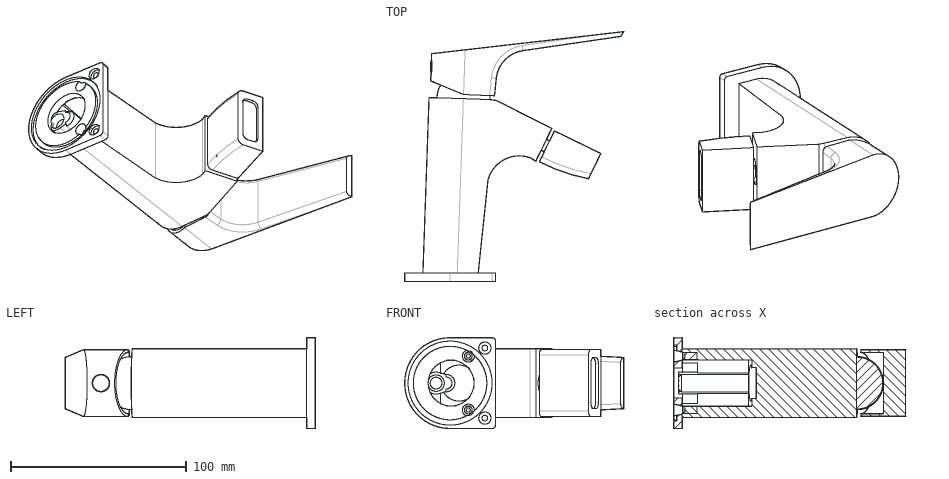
import cadquery as cq
import math

plate_radius = 26.0
plate_thickness = 5.0
plate_corner_radius = 2.0
groove_outer_radius = 24.0
groove_inner_radius = 21.0
groove_depth = 1.7
plate_bore_diameter = 26.1
plate_bore_x = 0.6
foot_x = 19.9
foot_z = 20.0
foot_recess_diameter = 7.0
foot_recess_depth = 1.9
foot_hole_diameter = 3.3
foot_hole_depth = 1.6

screw_x = 10.5
screw_z = 15.5
screw_diameter = 4.5
screw_length = 8.6
screw_entry_diameter = 6.9
screw_socket_size = 2.6
screw_socket_depth = 1.5

tilt = 2.0
column_radius = 19.7
column_base_x = 4.1
column_height = 99.6
column_front_base_x = 16.1
throat_start = (21.7, 58.1)
throat_middle = (28.1, 67.9)
throat_end = (45.7, 70.7)
shoulder = (26.5, 103.6)
spout_droop = 26.0
spout_face_centre = (53.6, 78.1)
spout_face_height = 20.9

cavity_back_x = -5.6
cavity_front_x = 13.6
cavity_half_width = 13.1
cavity_ceiling_y = 42.9
ceiling_slope = 6.0
supply_bore_diameter = 20.6
supply_bore_x = 5.1
supply_bore_depth = 4.3
side_pocket_depth = 8.6
lug_face_y = 2.9
lug_x = -8.0
lug_radius = 6.3
lug_hole_diameter = 9.5
lug_hole_floor_diameter = 6.7
lug_hole_depth = 4.3
nose_x = -2.3
nose_diameter = 10.0
nose_chamfer = 1.6

dome_diameter = 30.6

lever_radius = 19.1
lever_tip_half_width = 14.7
lever_top_back = (-10.3, 130.3)
lever_tip = (99.3, 142.9)
lever_tip_bottom = (97.5, 140.0)
lever_elbow = (27.9, 129.9)
lever_elbow_radius = 17.7
lever_front_bottom = (25.5, 106.2)
lever_skirt_front = (7.9, 106.9)
lever_skirt_back = (-10.7, 114.5)
lever_edge_radius = 3.0
lever_cavity_diameter = 34.9
lever_cavity_front = 15.6

cap_y = 122.5
cap_diameter = 9.5
cap_outer_x = -11.3
cap_inner_x = -9.9
cap_crown_radius = 15.7
cap_hole_diameter = 10.0

nozzle_gap = 1.9
nozzle_end = 31.5
nozzle_half_height = 9.9
nozzle_end_bottom = -6.3
nozzle_belly = (16.9, -9.1)
nozzle_width = 38.5
nozzle_edge_radius = 3.1
slot_length = 29.0
slot_height = 9.7
slot_offset = 1.7
slot_corner_radius = 3.3
slot_depth = 1.9
connector_flange_diameter = 15.0
connector_flange_thickness = 2.9
connector_neck_diameter = 7.0
connector_insertion = 4.3

reach = 114.3
trim_margin = 1.5
trim_overhang = 7.1


def horizontal_plane(y):
    """Plane at height y that faces up, with local x along X."""
    return cq.Plane(origin=(0, y, 0), xDir=(1, 0, 0), normal=(0, 1, 0))


def column_plane(height=0.0):
    """Plane square to the tilted column axis, at a distance along that axis."""
    lean = math.radians(tilt)
    return cq.Plane(
        origin=(column_base_x + height * math.sin(lean), plate_thickness + height * math.cos(lean), 0),
        xDir=(math.cos(lean), -math.sin(lean), 0),
        normal=(math.sin(lean), math.cos(lean), 0),
    )


def spout_profile_plane():
    """Plane z = 0 with local x along the spout and the origin on the spout face."""
    droop = math.radians(spout_droop)
    return cq.Plane(
        origin=(*spout_face_centre, 0),
        xDir=(math.cos(droop), -math.sin(droop), 0),
        normal=(0, 0, 1),
    )


def spout_cross_plane(distance):
    """Plane square to the spout: local x is up the face and local y is along Z."""
    droop = math.radians(spout_droop)
    along = (math.cos(droop), -math.sin(droop))
    return cq.Plane(
        origin=(
            spout_face_centre[0] + distance * along[0],
            spout_face_centre[1] + distance * along[1],
            0,
        ),
        xDir=(math.sin(droop), math.cos(droop), 0),
        normal=(*along, 0),
    )


def upright_cylinder(x, z, diameter, y_low, y_high):
    """Cylinder along Y between two heights."""
    return (
        cq.Workplane(horizontal_plane(y_low)).center(x, -z)
        .circle(diameter / 2).extrude(y_high - y_low)
    )


def upright_cone(x, z, low_diameter, high_diameter, y_low, y_high):
    """Cone or tapered hole along Y between two heights."""
    return cq.Workplane(
        cq.Solid.makeCone(
            low_diameter / 2, high_diameter / 2, y_high - y_low,
            pnt=cq.Vector(x, y_low, z), dir=cq.Vector(0, 1, 0),
        )
    )


def spout_cylinder(diameter, start, end):
    """Cylinder along the spout between two distances from the spout face."""
    return cq.Workplane(spout_cross_plane(start)).circle(diameter / 2).extrude(end - start)


def make_plate():
    plate = (
        cq.Workplane(horizontal_plane(0))
        .moveTo(0, plate_radius)
        .lineTo(plate_radius, plate_radius)
        .lineTo(plate_radius, -plate_radius)
        .lineTo(0, -plate_radius)
        .threePointArc((-plate_radius, 0), (0, plate_radius))
        .close().extrude(plate_thickness)
        .edges("|Y and >X").fillet(plate_corner_radius)
    )
    groove = (
        cq.Workplane(horizontal_plane(0))
        .circle(groove_outer_radius).circle(groove_inner_radius).extrude(groove_depth)
    )
    plate = plate.cut(groove)
    plate = plate.cut(upright_cylinder(plate_bore_x, 0, plate_bore_diameter, 0, plate_thickness))
    foot_cone_end = foot_recess_depth + foot_hole_depth
    for side in (-1, 1):
        plate = plate.cut(
            upright_cone(screw_x, side * screw_z, screw_entry_diameter, screw_diameter, 0, plate_thickness)
        )
        plate = plate.cut(upright_cylinder(foot_x, side * foot_z, foot_recess_diameter, 0, foot_recess_depth))
        plate = plate.cut(
            upright_cone(foot_x, side * foot_z, foot_hole_diameter, 0, foot_recess_depth, foot_cone_end)
        )
    return plate


def make_screw(side):
    screw_top = plate_thickness + screw_length
    screw = upright_cylinder(screw_x, side * screw_z, screw_diameter, plate_thickness, screw_top)
    socket = (
        cq.Workplane(horizontal_plane(plate_thickness)).center(screw_x, -side * screw_z)
        .polygon(6, screw_socket_size).extrude(screw_socket_depth)
    )
    return screw.cut(socket)


def column_shell():
    """Rounded-back column and spout, trimmed to the side outline."""
    plan = cq.Workplane(column_plane()).circle(column_radius).extrude(reach, both=True)
    front = (
        cq.Workplane(column_plane()).rect(reach, 2 * column_radius)
        .extrude(reach, both=True).translate((reach / 2, 0, 0))
    )
    face_half = spout_face_height / 2
    spout_plane = spout_profile_plane()
    face_bottom = spout_plane.toWorldCoords((0, -face_half)).toTuple()[:2]
    face_top = spout_plane.toWorldCoords((0, face_half)).toTuple()[:2]
    top_plane = column_plane(column_height)
    top_front = top_plane.toWorldCoords((dome_diameter / 2, 0)).toTuple()[:2]
    top_back = top_plane.toWorldCoords((-column_radius - trim_margin, 0)).toTuple()[:2]
    outline = (
        cq.Workplane("XY")
        .moveTo(top_back[0] - column_radius, plate_thickness)
        .lineTo(column_front_base_x, plate_thickness)
        .lineTo(*throat_start)
        .threePointArc(throat_middle, throat_end)
        .lineTo(*face_bottom).lineTo(*face_top)
        .lineTo(*shoulder).lineTo(*top_front).lineTo(*top_back)
        .close().extrude(column_radius + trim_margin, both=True)
    )
    return outline.intersect(plan.union(front))


def column_lug():
    """Lug that hangs from the cavity ceiling, blended into a chamfered round nose."""
    height = cavity_ceiling_y - lug_face_y
    nose_radius = nose_diameter / 2
    slope = (lug_radius - nose_radius) / (nose_x - lug_x)
    rise = math.sqrt(1 - slope ** 2)
    lug_edge = (lug_x + lug_radius * slope, lug_radius * rise)
    web = (
        cq.Workplane(horizontal_plane(lug_face_y))
        .polyline([
            lug_edge,
            (nose_x, nose_radius * rise),
            (nose_x, -nose_radius * rise),
            (lug_edge[0], -lug_edge[1]),
        ])
        .close().extrude(height)
    )
    lug = upright_cylinder(lug_x, 0, 2 * lug_radius, lug_face_y, cavity_ceiling_y)
    nose = (
        upright_cylinder(nose_x, 0, nose_diameter, lug_face_y, cavity_ceiling_y)
        .faces("<Y").chamfer(nose_chamfer)
    )
    return lug.union(web).union(nose)


def column_cavity():
    """Hollow behind the flat front wall, with a sloping ceiling."""
    front_lean = (throat_start[0] - column_front_base_x) / (throat_start[1] - plate_thickness)
    ceiling_rise = math.tan(math.radians(ceiling_slope))
    front_top_x = cavity_front_x + front_lean * (cavity_ceiling_y - plate_thickness)
    front_top_y = cavity_ceiling_y + ceiling_rise * (front_top_x - cavity_back_x)
    return (
        cq.Workplane("XY")
        .polyline([
            (cavity_back_x, plate_thickness),
            (cavity_front_x, plate_thickness),
            (front_top_x, front_top_y),
            (cavity_back_x, cavity_ceiling_y),
        ])
        .close().extrude(cavity_half_width, both=True)
    )


def underside_openings():
    """Cavity, supply bore in its ceiling and side pocket, leaving the lug standing."""
    supply = upright_cylinder(
        supply_bore_x, 0, supply_bore_diameter, cavity_ceiling_y, cavity_ceiling_y + supply_bore_depth
    )
    pocket_top = plate_thickness + side_pocket_depth
    pocket = upright_cylinder(plate_bore_x, 0, plate_bore_diameter, plate_thickness, pocket_top)
    return pocket.union(column_cavity()).cut(column_lug()).union(supply)


def lug_foot():
    """Lower end of the lug, trimmed to fit inside the bore of the plate."""
    return column_lug().intersect(
        upright_cylinder(plate_bore_x, 0, plate_bore_diameter, lug_face_y, plate_thickness)
    )


def make_column():
    lug_hole = upright_cone(
        lug_x, 0, lug_hole_diameter, lug_hole_floor_diameter, lug_face_y, lug_face_y + lug_hole_depth
    )
    column = column_shell().cut(underside_openings()).union(lug_foot()).cut(lug_hole)
    for side in (-1, 1):
        column = column.cut(
            upright_cylinder(
                screw_x, side * screw_z, screw_diameter, plate_thickness, plate_thickness + screw_length
            )
        )
    return column.cut(spout_cylinder(connector_flange_diameter, -connector_flange_thickness, 0))


def make_dome():
    """Half ball that stands on the column top."""
    return cq.Workplane(column_plane(column_height)).sphere(dome_diameter / 2, angle1=0, angle2=90)


def lever_plan():
    """Round back with sides that narrow towards the tip, along the column axis."""
    axis_plane = column_plane(column_height)
    tip_distance = axis_plane.toLocalCoords(cq.Vector(*lever_tip, 0)).x
    return (
        cq.Workplane(axis_plane)
        .moveTo(0, lever_radius)
        .lineTo(tip_distance, lever_tip_half_width)
        .lineTo(tip_distance, -lever_tip_half_width)
        .lineTo(0, -lever_radius)
        .threePointArc((-lever_radius, 0), (0, lever_radius))
        .close().extrude(reach, both=True)
    )


def lever_outline():
    """Side outline of the lever with its rounded inner elbow."""
    top_slope = (lever_tip[1] - lever_top_back[1]) / (lever_tip[0] - lever_top_back[0])
    skirt_slope = (lever_skirt_front[1] - lever_skirt_back[1]) / (lever_skirt_front[0] - lever_skirt_back[0])
    sharp = (
        cq.Workplane("XY")
        .polyline([
            (lever_top_back[0] - trim_overhang, lever_top_back[1] - trim_overhang * top_slope),
            lever_tip, lever_tip_bottom, lever_elbow, lever_front_bottom, lever_skirt_front,
            (lever_skirt_back[0] - trim_overhang, lever_skirt_back[1] - trim_overhang * skirt_slope),
        ])
        .close().extrude(lever_radius + trim_margin, both=True)
    )
    return sharp.edges(cq.NearestToPointSelector((*lever_elbow, 0))).fillet(lever_elbow_radius)


def underside_edges(lever):
    """Side edges along the front wall, elbow and underside of the blade."""
    def is_underside(edge):
        middle = edge.positionAt(0.5)
        fraction = (middle.x - lever_top_back[0]) / (lever_tip[0] - lever_top_back[0])
        top_y = lever_top_back[1] + fraction * (lever_tip[1] - lever_top_back[1])
        on_side = abs(middle.z) > lever_tip_half_width
        in_front = lever_front_bottom[0] < middle.x < lever_tip_bottom[0] - trim_margin
        return on_side and in_front and middle.y < top_y - trim_margin
    return [edge for edge in lever.edges().vals() if is_underside(edge)]


def make_lever():
    lever = lever_outline().intersect(lever_plan())
    lever = lever.newObject(underside_edges(lever)).fillet(lever_edge_radius)
    return lever.cut(lever_cavity()).cut(cap_disc(cap_hole_diameter))


def lever_cavity():
    """Hollow over the dome: a round back with straight sides up to the front wall."""
    radius = lever_cavity_diameter / 2
    return (
        cq.Workplane(column_plane(column_height))
        .moveTo(0, radius)
        .lineTo(lever_cavity_front, radius)
        .lineTo(lever_cavity_front, -radius)
        .lineTo(0, -radius)
        .threePointArc((-radius, 0), (0, radius))
        .close().extrude(dome_diameter / 2)
    )


def cap_disc(diameter):
    return (
        cq.Workplane("YZ", origin=(cap_outer_x, 0, 0)).center(cap_y, 0)
        .circle(diameter / 2).extrude(cap_inner_x - cap_outer_x)
    )


def make_cap():
    """Disc with a domed outer face."""
    crown = cq.Workplane("XY").sphere(cap_crown_radius).translate((cap_outer_x + cap_crown_radius, cap_y, 0))
    return cap_disc(cap_diameter).intersect(crown)


def make_connector():
    flange = spout_cylinder(connector_flange_diameter, -connector_flange_thickness, 0)
    neck = spout_cylinder(connector_neck_diameter, 0, nozzle_gap + connector_insertion)
    return flange.union(neck)


def make_nozzle():
    nozzle = (
        cq.Workplane(spout_profile_plane())
        .moveTo(nozzle_gap, nozzle_half_height)
        .lineTo(nozzle_end, nozzle_half_height)
        .lineTo(nozzle_end, nozzle_end_bottom)
        .threePointArc(nozzle_belly, (nozzle_gap, -nozzle_half_height))
        .close().extrude(nozzle_width / 2, both=True)
    )
    belly_point = spout_profile_plane().toWorldCoords(nozzle_belly).toTuple()
    for side in (-1, 1):
        belly_edge = cq.NearestToPointSelector((belly_point[0], belly_point[1], side * nozzle_width / 2))
        nozzle = nozzle.edges(belly_edge).fillet(nozzle_edge_radius)
    slot = (
        cq.Workplane(spout_cross_plane(nozzle_end - slot_depth)).center(slot_offset, 0)
        .sketch().rect(slot_height, slot_length).vertices().fillet(slot_corner_radius).finalize()
        .extrude(slot_depth)
    )
    neck_hole = spout_cylinder(connector_neck_diameter, nozzle_gap, nozzle_gap + connector_insertion)
    return nozzle.cut(slot).cut(neck_hole)


plate = make_plate()
screws = [make_screw(side).val() for side in (-1, 1)]
column = make_column()
dome = make_dome()
lever = make_lever()
cap = make_cap()
connector = make_connector()
nozzle = make_nozzle()

result = cq.Compound.makeCompound([
    plate.val(), *screws, column.val(), dome.val(), lever.val(),
    cap.val(), connector.val(), nozzle.val(),
])